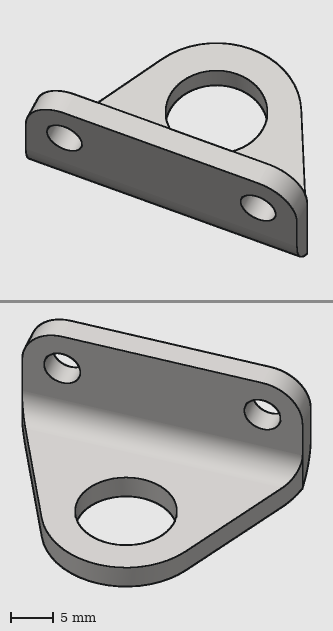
import cadquery as cq
import math

width = 35.0
height = 16.0
thickness = 3.0
inner_bend_radius = 3.0
corner_radius = 5.0
eye_radius = 10.0
eye_hole_diameter = 12.0
eye_center_y = 16.0
mount_hole_diameter = 4.5

half_width = width / 2
outer_bend_radius = inner_bend_radius + thickness
depth = eye_center_y + eye_radius
mount_hole_x = half_width - corner_radius
mount_hole_z = height - corner_radius


def bent_strip():
    """L-shaped sheet: upright plate at the front, base plate behind it, joined by a bend."""
    inner_bend_end = thickness + inner_bend_radius
    return (
        cq.Workplane("YZ")
        .moveTo(outer_bend_radius, 0)
        .lineTo(depth, 0)
        .lineTo(depth, thickness)
        .lineTo(inner_bend_end, thickness)
        .radiusArc((thickness, inner_bend_end), inner_bend_radius)
        .lineTo(thickness, height)
        .lineTo(0, height)
        .lineTo(0, outer_bend_radius)
        .radiusArc((outer_bend_radius, 0), -outer_bend_radius)
        .close()
        .extrude(half_width, both=True)
    )


def base_outline():
    """Plan shape: full width across the upright, then tapering tangentially into the round eye."""
    rise = eye_center_y - thickness
    corner_distance = math.hypot(half_width, rise)
    tangent_angle = math.acos(eye_radius / corner_distance) - math.atan2(rise, half_width)
    tangent_x = eye_radius * math.cos(tangent_angle)
    tangent_y = eye_center_y + eye_radius * math.sin(tangent_angle)
    return (
        cq.Workplane("XY")
        .moveTo(-half_width, 0)
        .lineTo(half_width, 0)
        .lineTo(half_width, thickness)
        .lineTo(tangent_x, tangent_y)
        .threePointArc((0, depth), (-tangent_x, tangent_y))
        .lineTo(-half_width, thickness)
        .close()
        .extrude(height)
    )


def upright_outline():
    """Front shape: rectangle with rounded top corners, running the full depth."""
    return (
        cq.Workplane("XY")
        .box(width, depth, height, centered=(True, False, False))
        .edges("|Y and >Z")
        .fillet(corner_radius)
    )


def eye_hole():
    """Cutter for the large hole through the base plate."""
    return cq.Workplane("XY").center(0, eye_center_y).circle(eye_hole_diameter / 2).extrude(thickness)


def mount_holes():
    """Cutters for the two holes through the upright, concentric with its rounded corners."""
    return (
        cq.Workplane("XZ")
        .pushPoints([(side * mount_hole_x, mount_hole_z) for side in (-1, 1)])
        .circle(mount_hole_diameter / 2)
        .extrude(-thickness)
    )


bracket = bent_strip().intersect(base_outline()).intersect(upright_outline())
result = bracket.cut(eye_hole()).cut(mount_holes())